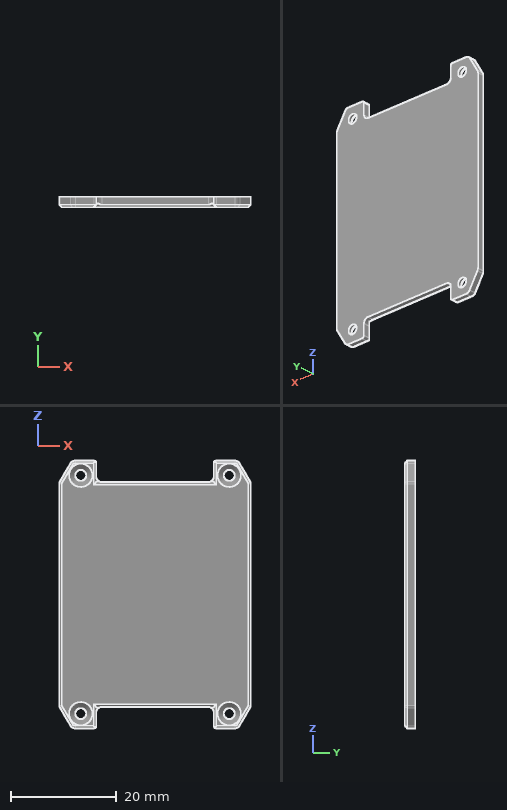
import cadquery as cq

width = 36.2
height = 50.6
thickness = 2.0
half_width = width / 2
half_height = height / 2

corner_run = 2.45
corner_rise = 4.15

notch_width = 22.15
notch_depth = 4.05
notch_floor = half_height - notch_depth

front_chamfer = 0.5
outer_radius = 1.0
notch_radius = 1.0
tab_radius = 0.5

hole_spacing_x = 28.05
hole_spacing_z = 45.0
hole_diameter = 2.0
countersink_diameter = 4.4
countersink_angle = 90.0


def make_blank():
    """Plate with sloped corners and both notches; the front face is at -Y."""
    upper_half = [
        (half_width, half_height - corner_rise),
        (half_width - corner_run, half_height),
        (notch_width / 2, half_height),
        (notch_width / 2, notch_floor),
        (-notch_width / 2, notch_floor),
        (-notch_width / 2, half_height),
        (-half_width + corner_run, half_height),
        (-half_width, half_height - corner_rise),
    ]
    lower_half = [(-x, -z) for x, z in upper_half]
    return (
        cq.Workplane("XZ")
        .polyline(upper_half + lower_half)
        .close()
        .extrude(thickness / 2, both=True)
    )


def round_corners(plate, x, z, radius):
    """Round the through-thickness edges at (+-x, +-z)."""
    picks = [(sx * x, 0, sz * z) for sx in (-1, 1) for sz in (-1, 1)]
    for pick in picks:
        edge = plate.edges("|Y").edges(cq.selectors.NearestToPointSelector(pick))
        plate = edge.fillet(radius)
    return plate


plate = make_blank()
plate = round_corners(plate, half_width - corner_run, half_height, outer_radius)
plate = round_corners(plate, half_width, half_height - corner_rise, outer_radius)
plate = plate.faces("<Y").edges().chamfer(front_chamfer)

plate = round_corners(plate, notch_width / 2, notch_floor, notch_radius)
plate = round_corners(plate, notch_width / 2, half_height, tab_radius)

result = (
    plate.faces("<Y")
    .workplane(centerOption="CenterOfBoundBox")
    .rarray(hole_spacing_x, hole_spacing_z, 2, 2)
    .cskHole(hole_diameter, countersink_diameter, countersink_angle)
)